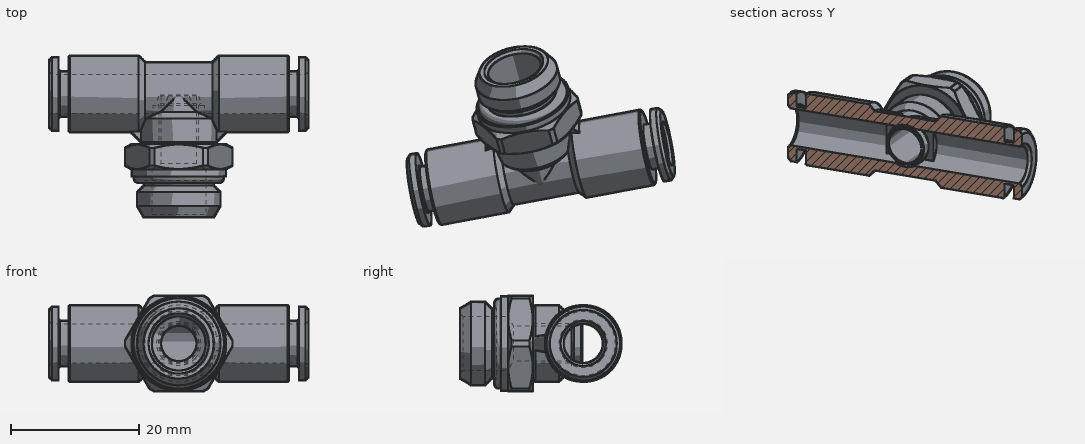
import cadquery as cq
import math


run_half_length = 20.3
socket_radius = 6.0
socket_outer_end = 17.2
socket_chamfer = 0.25
waist_radius = 5.0
waist_half_length = 5.25
shoulder_rise = socket_radius - waist_radius

collar_radius = 5.75
collar_thickness = 1.55
collar_chamfer = 0.53
collar_neck_radius = 3.57
collar_neck_chamfer = 0.2
tube_radius = 3.05
tube_chamfer = 0.5

branch_cone_start = 2.8
branch_end = 7.85
branch_chamfer = 0.35
rib_half_angle = 10.5

web_half_width = 4.05
web_face = 1.83
head_radius = 3.45
head_top = 0.12
head_lead_in_radius = 3.15
head_tip_chamfer = 0.2
head_hook_length = 0.35
stem_radius = 3.1

hex_sides = 6
hex_across_flats = 15.0
hex_height = 3.95
hex_corner_radius = 8.4
flange_radius = 7.4
hex_chamfer_angle = 30.0
hex_bottom = branch_end + hex_height

seal_radius = 7.05
seal_top = 12.85
seal_round = 0.85
seal_bottom = 13.93
thread_neck_radius = 5.5
thread_neck_end = 14.3
thread_radius = 6.55
thread_start = thread_neck_end + thread_radius - thread_neck_radius
thread_end_cone_start = 17.5
stud_end = 19.3

bore_radius = 4.22
bore_mouth_chamfer = 0.5
bore_depth_end = 11.77
passage_radius = 2.75
drill_half_angle = 59.0
passage_cone_length = (bore_radius - passage_radius) / math.tan(math.radians(drill_half_angle))


def revolve_about_y(points):
    """Revolve a closed (radius, distance towards -Y) outline about the Y axis."""
    outline = [(radius, -distance) for radius, distance in points]
    return cq.Workplane("XY").polyline(outline).close().revolve(360, (0, 0), (0, 1))


def revolve_about_x(points):
    """Revolve a closed (x, radius) outline about the X axis."""
    return cq.Workplane("XY").polyline(points).close().revolve(360, (0, 0), (1, 0))


def make_run_half():
    """Half of the run on the +X side, from the branch axis to the collar end face."""
    collar_inner_face = run_half_length - collar_thickness
    return revolve_about_x([
        (0, 0),
        (0, waist_radius),
        (waist_half_length, waist_radius),
        (waist_half_length + shoulder_rise, socket_radius),
        (socket_outer_end - socket_chamfer, socket_radius),
        (socket_outer_end, socket_radius - socket_chamfer),
        (socket_outer_end, collar_neck_radius),
        (collar_inner_face - collar_neck_chamfer, collar_neck_radius),
        (collar_inner_face, collar_neck_radius + collar_neck_chamfer),
        (collar_inner_face, collar_radius),
        (run_half_length - collar_chamfer, collar_radius),
        (run_half_length, collar_radius - collar_chamfer),
        (run_half_length, 0),
    ])


def make_rib_wedge():
    """Radial wedge on the +X side that fills the corner between run and branch."""
    reach = socket_radius + branch_end - waist_radius
    half_width = reach * math.tan(math.radians(rib_half_angle))
    return (
        cq.Workplane("XZ", origin=(0, -waist_radius, 0))
        .polyline([(0, 0), (reach, half_width), (reach, -half_width)]).close()
        .extrude(branch_end - waist_radius)
    )


def make_branch():
    """Branch, as thin as the waist at the run, with its corner ribs.

    One 45 degree cone chamfers the branch end and slopes the ribs.
    """
    column = revolve_about_y([
        (0, 0),
        (waist_radius, 0),
        (waist_radius, branch_cone_start),
        (socket_radius, branch_cone_start + shoulder_rise),
        (socket_radius, branch_end),
        (0, branch_end),
    ])
    rib_wedge = make_rib_wedge()
    end_radius = socket_radius - branch_chamfer
    end_cone = revolve_about_y([
        (0, 0),
        (end_radius + branch_end, 0),
        (end_radius, branch_end),
        (0, branch_end),
    ])
    return column.union(rib_wedge).union(rib_wedge.mirror("YZ")).intersect(end_cone)


def make_tube_bore():
    """Through bore of the run with chamfered mouths, leaving the web between the tube stops."""
    mouth_radius = tube_radius + tube_chamfer
    bore = revolve_about_x([
        (-run_half_length, 0),
        (-run_half_length, mouth_radius),
        (-run_half_length + tube_chamfer, tube_radius),
        (run_half_length - tube_chamfer, tube_radius),
        (run_half_length, mouth_radius),
        (run_half_length, 0),
    ])
    web = cq.Workplane("XY").box(
        2 * web_half_width, tube_radius, 2 * tube_radius
    ).translate((0, -web_face - tube_radius / 2, 0))
    return bore.cut(web)


def make_stud_seat():
    """Hole for the stud stem and the wider pocket for its head."""
    return revolve_about_y([
        (0, head_top),
        (head_radius, head_top),
        (head_radius, web_face),
        (stem_radius, web_face),
        (stem_radius, branch_end),
        (0, branch_end),
    ])


def make_tee():
    run_half = make_run_half()
    outside = run_half.union(run_half.mirror("YZ")).union(make_branch())
    return outside.cut(make_tube_bore()).cut(make_stud_seat())


def make_hexagon():
    """Hexagon with a corner on the X axis, turned corners and chamfered end faces."""
    across_corners = hex_across_flats / math.cos(math.pi / hex_sides)
    prism = (
        cq.Workplane("XZ", origin=(0, -branch_end, 0))
        .polygon(hex_sides, across_corners)
        .extrude(hex_height)
    )
    chamfer_length = (hex_corner_radius - flange_radius) * math.tan(math.radians(hex_chamfer_angle))
    turned_envelope = revolve_about_y([
        (0, branch_end),
        (flange_radius, branch_end),
        (hex_corner_radius, branch_end + chamfer_length),
        (hex_corner_radius, hex_bottom - chamfer_length),
        (flange_radius, hex_bottom),
        (0, hex_bottom),
    ])
    return prism.intersect(turned_envelope)


def make_stem_and_head():
    """Stem inside the branch with the hooked snap head at its top."""
    return revolve_about_y([
        (0, head_top),
        (head_lead_in_radius - head_tip_chamfer, head_top),
        (head_lead_in_radius, head_top + head_tip_chamfer),
        (head_radius, web_face - head_hook_length),
        (stem_radius, web_face),
        (stem_radius, branch_end),
        (0, branch_end),
    ])


def make_flange_and_seal():
    """Round flange under the hexagon and the seal ring with its half-round lower side."""
    round_start = seal_bottom - seal_round
    return (
        cq.Workplane("XY")
        .moveTo(0, -hex_bottom)
        .lineTo(flange_radius, -hex_bottom)
        .lineTo(flange_radius, -seal_top)
        .lineTo(seal_radius, -seal_top)
        .lineTo(seal_radius, -round_start)
        .threePointArc(
            (seal_radius - seal_round, -seal_bottom),
            (seal_radius - 2 * seal_round, -round_start),
        )
        .lineTo(0, -round_start)
        .close()
        .revolve(360, (0, 0), (0, 1))
    )


def make_thread():
    """Plain thread cylinder with a relief neck above it and a cone at the free end."""
    return revolve_about_y([
        (0, seal_top),
        (thread_neck_radius, seal_top),
        (thread_neck_radius, thread_neck_end),
        (thread_radius, thread_start),
        (thread_radius, thread_end_cone_start),
        (thread_neck_radius, stud_end),
        (0, stud_end),
    ])


def make_stud_bore():
    """Wide bore from the thread end, coned down to the passage through the stem."""
    return revolve_about_y([
        (0, head_top),
        (passage_radius, head_top),
        (passage_radius, bore_depth_end - passage_cone_length),
        (bore_radius, bore_depth_end),
        (bore_radius, stud_end - bore_mouth_chamfer),
        (bore_radius + bore_mouth_chamfer, stud_end),
        (0, stud_end),
    ])


def make_stud():
    outside = make_hexagon().union(make_stem_and_head())
    outside = outside.union(make_flange_and_seal()).union(make_thread())
    return outside.cut(make_stud_bore())


tee = make_tee()
stud = make_stud()

result = cq.Compound.makeCompound([tee.solids().val(), stud.solids().val()])